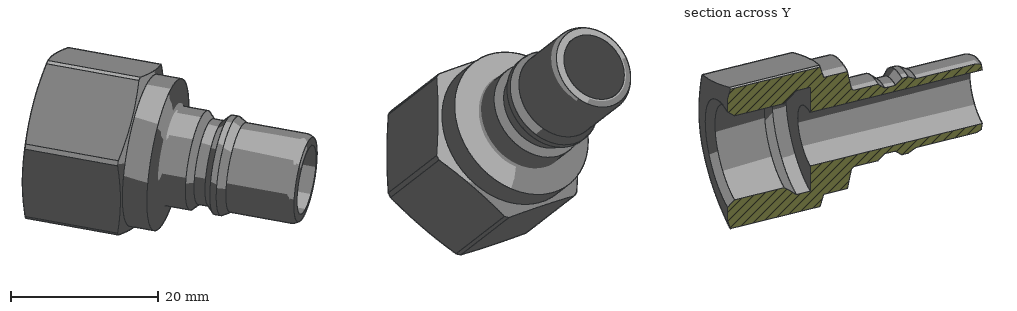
import cadquery as cq
import math

hex_length = 14.0
collar_end = 17.45
tip_edge = 36.86
groove_start = 21.85
rib_start = 25.3
rib_width = 0.9
length = 37.0

hex_sides = 6
across_flats = 22.0
corner_diameter = 25.0
face_diameter = 21.9
hex_chamfer_angle = 15.0

collar_diameter = 21.0
shoulder_angle = 10.0
shoulder_fillet = 0.5
stem_diameter = 13.75
groove_diameter = 11.85
rib_angle = 30.0
plug_diameter = 12.4
tip_chamfer_length = 0.4
tip_chamfer_angle = 30.0
tip_blend_radius = 1.0
end_face_angle = 10.0

thread_diameter = 14.95
mouth_diameter = 17.0
mouth_depth = (mouth_diameter - thread_diameter) / 2
relief_diameter = 18.5
relief_full = 10.0
relief_end = 12.0
passage_diameter = 9.5


def rise(run, angle):
    """Sideways change of a line sloped at the angle (degrees) to its run."""
    return run * math.tan(math.radians(angle))


def revolve_about_x(profile):
    """Close a half section that starts and ends on the X axis, and turn it."""
    return profile.close().revolve(360, (0, 0, 0), (1, 0, 0))


def make_hexagon():
    """Hexagon with two corners on Z; its rear chamfer runs down to the collar."""
    half_side_angle = 180 / hex_sides
    across_corners = across_flats / math.cos(math.radians(half_side_angle))
    prism = cq.Workplane("YZ").polygon(hex_sides, across_corners).extrude(hex_length)
    prism = prism.rotate((0, 0, 0), (1, 0, 0), half_side_angle)
    front_chamfer = rise((corner_diameter - face_diameter) / 2, hex_chamfer_angle)
    rear_chamfer = rise((corner_diameter - collar_diameter) / 2, hex_chamfer_angle)
    envelope = revolve_about_x(
        cq.Workplane("XY")
        .lineTo(0, face_diameter / 2)
        .lineTo(front_chamfer, corner_diameter / 2)
        .lineTo(hex_length - rear_chamfer, corner_diameter / 2)
        .lineTo(hex_length, collar_diameter / 2)
        .lineTo(hex_length, 0)
    )
    return prism.intersect(envelope)


def make_stem():
    """Collar, conical shoulder, neck, groove, rib and plug, rooted inside the hexagon."""
    collar_radius = collar_diameter / 2
    stem_radius = stem_diameter / 2
    groove_radius = groove_diameter / 2
    plug_radius = plug_diameter / 2
    groove_depth = stem_radius - groove_radius
    shoulder_end = collar_end + rise(collar_radius - stem_radius, shoulder_angle)

    shoulder_slope = math.radians(shoulder_angle)
    fillet_setback = shoulder_fillet * math.tan((math.pi / 2 - shoulder_slope) / 2)
    fillet_start = (
        shoulder_end - fillet_setback * math.sin(shoulder_slope),
        stem_radius + fillet_setback * math.cos(shoulder_slope),
    )

    rib_end = rib_start + rib_width
    plug_start = rib_end + (stem_radius - plug_radius) / rise(1, rib_angle)

    blend_turn = math.radians(tip_chamfer_angle)
    blend_end = tip_edge - tip_chamfer_length
    blend_start = blend_end - tip_blend_radius * math.sin(blend_turn)
    blend_end_radius = plug_radius - tip_blend_radius * (1 - math.cos(blend_turn))
    tip_radius = blend_end_radius - rise(tip_chamfer_length, tip_chamfer_angle)

    return revolve_about_x(
        cq.Workplane("XY")
        .moveTo(hex_length / 2, 0)
        .lineTo(hex_length / 2, collar_radius)
        .lineTo(collar_end, collar_radius)
        .lineTo(*fillet_start)
        .tangentArcPoint((shoulder_end + fillet_setback, stem_radius), relative=False)
        .lineTo(groove_start, stem_radius)
        .lineTo(groove_start + groove_depth, groove_radius)
        .lineTo(rib_start - groove_depth, groove_radius)
        .lineTo(rib_start, stem_radius)
        .lineTo(rib_end, stem_radius)
        .lineTo(plug_start, plug_radius)
        .lineTo(blend_start, plug_radius)
        .tangentArcPoint((blend_end, blend_end_radius), relative=False)
        .lineTo(tip_edge, tip_radius)
        .lineTo(length, tip_radius - (length - tip_edge) / rise(1, end_face_angle))
        .lineTo(length, 0)
    )


def make_bore():
    """Chamfered mouth, thread bore, wider relief with a 45 degree lead, and passage."""
    thread_radius = thread_diameter / 2
    relief_radius = relief_diameter / 2
    relief_depth = relief_radius - thread_radius
    passage_radius = passage_diameter / 2
    return revolve_about_x(
        cq.Workplane("XY")
        .lineTo(0, mouth_diameter / 2)
        .lineTo(mouth_depth, thread_radius)
        .lineTo(relief_full - relief_depth, thread_radius)
        .lineTo(relief_full, relief_radius)
        .lineTo(relief_end, relief_radius)
        .lineTo(relief_end, passage_radius)
        .lineTo(length, passage_radius)
        .lineTo(length, 0)
    )


result = make_hexagon().union(make_stem()).cut(make_bore())